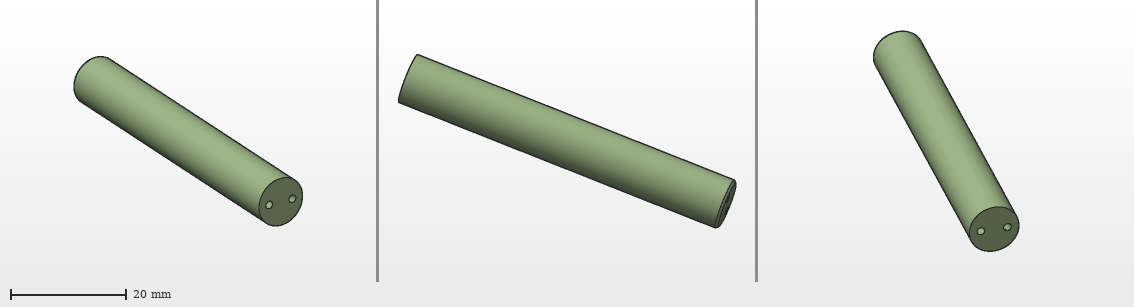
import cadquery as cq
import math

ROD_LENGTH = 60.0
ROD_DIAMETER = 9.0
CHAMFER = 0.45

HOLE_DIAMETER = 1.4
HOLE_CIRCLE_DIAMETER = 4.8
HELIX_ANGLE = 30.0
HELIX_PITCH = math.pi * ROD_DIAMETER / math.tan(math.radians(HELIX_ANGLE))
TWIST = 360.0 * ROD_LENGTH / HELIX_PITCH


def make_rod():
    """Plain round bar with a chamfer on its X = 0 end."""
    rod = cq.Workplane("YZ").circle(ROD_DIAMETER / 2).extrude(ROD_LENGTH)
    return rod.faces("<X").chamfer(CHAMFER)


def make_twisted_hole(start_y):
    """Round cutter that starts on the Y axis of the plain face and winds back to X = 0."""
    plain_face = cq.Plane(origin=(ROD_LENGTH, 0, 0), xDir=(0, 1, 0), normal=(-1, 0, 0))
    profile = cq.Workplane(plain_face).moveTo(start_y, 0).circle(HOLE_DIAMETER / 2)
    return profile.twistExtrude(ROD_LENGTH, TWIST)


result = make_rod()
for side in (-1, 1):
    result = result.cut(make_twisted_hole(side * HOLE_CIRCLE_DIAMETER / 2))